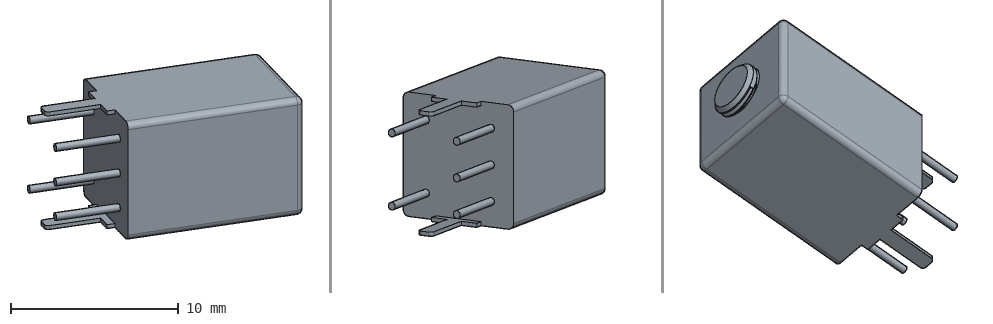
import cadquery as cq

OVERALL_LENGTH = 16.0

HOUSING_WIDTH = 7.62
HOUSING_LENGTH = 11.2
HOUSING_RADIUS = 0.4

TAB_THICKNESS = 0.25
TAB_SHOULDER_WIDTH = 3.14
TAB_SHOULDER_LENGTH = 0.51
TAB_WIDTH = 1.0
TAB_LENGTH = 4.0
TAB_TIP_RADIUS = 0.24

PIN_DIAMETER = 0.48
PIN_LENGTH = 4.06
PIN_OFFSET = 2.24
PIN_POSITIONS = [
    (-PIN_OFFSET, -PIN_OFFSET),
    (-PIN_OFFSET, PIN_OFFSET),
    (PIN_OFFSET, -PIN_OFFSET),
    (PIN_OFFSET, 0),
    (PIN_OFFSET, PIN_OFFSET),
]

SCREW_DIAMETER = 3.4
SCREW_PROTRUSION = OVERALL_LENGTH - HOUSING_LENGTH - PIN_LENGTH
SCREW_DEPTH = 1.92
SCREW_CHAMFER = 0.25
COLLAR_HEIGHT = 0.34

THREAD_ROOT_DIAMETER = 2.75
THREAD_PITCH = 0.5
GROOVE_ROOT_WIDTH = THREAD_PITCH / 4
GROOVE_MOUTH_WIDTH = THREAD_PITCH * 7 / 8
GROOVE_RUNOUT = 0.05
GROOVE_DEPTH_START = 0.77
GROOVE_TURNS = 2.4


def make_tab(side):
    """One T-shaped tab: side is 1 for the top face, -1 for the bottom face."""
    middle_z = side * (HOUSING_WIDTH - TAB_THICKNESS) / 2
    shoulder = cq.Workplane("XY").box(TAB_SHOULDER_WIDTH, TAB_SHOULDER_LENGTH, TAB_THICKNESS)
    shoulder = shoulder.translate((0, -TAB_SHOULDER_LENGTH / 2, middle_z))
    blade = cq.Workplane("XY").box(TAB_WIDTH, TAB_LENGTH, TAB_THICKNESS)
    blade = blade.edges("|Z and <Y").fillet(TAB_TIP_RADIUS)
    blade = blade.translate((0, -TAB_LENGTH / 2, middle_z))
    return shoulder.union(blade)


def make_housing():
    """Rounded block with its tabs, pins and the bore for the screw."""
    block = cq.Workplane("XY").box(HOUSING_WIDTH, HOUSING_LENGTH, HOUSING_WIDTH)
    block = block.translate((0, HOUSING_LENGTH / 2, 0))
    block = block.edges("|Y or >Y").fillet(HOUSING_RADIUS)
    for side in (1, -1):
        block = block.union(make_tab(side))
    pins = cq.Workplane("XZ").pushPoints(PIN_POSITIONS).circle(PIN_DIAMETER / 2).extrude(PIN_LENGTH)
    bore = cq.Workplane("XZ", origin=(0, HOUSING_LENGTH, 0)).circle(SCREW_DIAMETER / 2).extrude(SCREW_DEPTH)
    return block.union(pins).cut(bore)


def make_thread_groove():
    """Helical groove cutter around local Z, with the housing end at z = 0."""
    root_radius = THREAD_ROOT_DIAMETER / 2
    crest_radius = SCREW_DIAMETER / 2
    flank_slope = (GROOVE_MOUTH_WIDTH - GROOVE_ROOT_WIDTH) / 2 / (crest_radius - root_radius)
    outer_half_width = GROOVE_MOUTH_WIDTH / 2 + flank_slope * GROOVE_RUNOUT
    outer_radius = crest_radius + GROOVE_RUNOUT
    helix = cq.Wire.makeHelix(THREAD_PITCH, GROOVE_TURNS * THREAD_PITCH, root_radius)
    profile = cq.Workplane("XZ").polyline([
        (root_radius, -GROOVE_ROOT_WIDTH / 2),
        (outer_radius, -outer_half_width),
        (outer_radius, outer_half_width),
        (root_radius, GROOVE_ROOT_WIDTH / 2),
    ]).close()
    return profile.sweep(cq.Workplane(obj=helix), isFrenet=True).translate((0, 0, -GROOVE_DEPTH_START))


def make_screw():
    """Threaded shank under a plain chamfered collar."""
    radius = SCREW_DIAMETER / 2
    collar_bottom = SCREW_PROTRUSION - COLLAR_HEIGHT
    shank = cq.Workplane("XY", origin=(0, 0, -SCREW_DEPTH)).circle(radius).extrude(SCREW_DEPTH + collar_bottom)
    shank = shank.cut(make_thread_groove())
    collar = cq.Workplane("XY", origin=(0, 0, collar_bottom)).circle(radius).extrude(COLLAR_HEIGHT)
    collar = collar.faces(">Z").chamfer(SCREW_CHAMFER)
    screw = shank.union(collar).rotate((0, 0, 0), (1, 0, 0), -90)
    return screw.translate((0, HOUSING_LENGTH, 0))


housing = make_housing()
screw = make_screw()

result = cq.Compound.makeCompound([housing.val(), screw.val()])